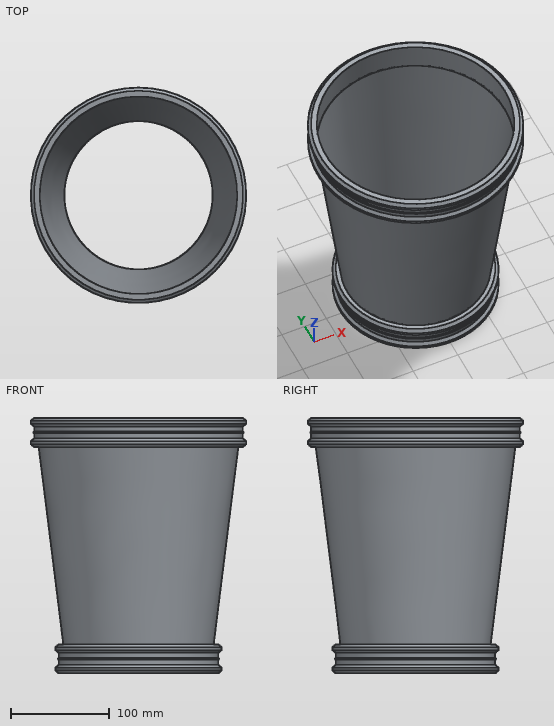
import cadquery as cq

total_height = 258.8
collar_height = 29.5

upper_bore_radius = 200.0 / 2
lower_bore_radius = 150.0 / 2
sleeve_wall = 1.3

band_wall = 211.7 / 2 - upper_bore_radius
bead_wall = 218.5 / 2 - upper_bore_radius
bead_height = 8.8
bead_flat = 2.8
rib_projection = 1.0
rib_height = 2.0


def ring(inner_radius, outer_radius, bottom, height):
    """Plain ring around the Z axis."""
    return (
        cq.Workplane("XY", origin=(0, 0, bottom))
        .circle(outer_radius)
        .circle(inner_radius)
        .extrude(height)
    )


def revolve_section(points):
    """Solid of revolution around Z from (radius, z) points."""
    return cq.Workplane("YZ").polyline(points).close().revolve(360, (0, 0, 0), (0, 1, 0))


def make_bead(bore_radius, bottom):
    """End bead with a flat crest and sloped flanks."""
    band_radius = bore_radius + band_wall
    crest_radius = bore_radius + bead_wall
    middle = bottom + bead_height / 2
    return revolve_section([
        (bore_radius, bottom),
        (band_radius, bottom),
        (crest_radius, middle - bead_flat / 2),
        (crest_radius, middle + bead_flat / 2),
        (band_radius, bottom + bead_height),
        (bore_radius, bottom + bead_height),
    ])


def make_rib(bore_radius, middle):
    """Rib of triangular section, with its sharp crest at height middle."""
    band_radius = bore_radius + band_wall
    return revolve_section([
        (bore_radius, middle - rib_height / 2),
        (band_radius, middle - rib_height / 2),
        (band_radius + rib_projection, middle),
        (band_radius, middle + rib_height / 2),
        (bore_radius, middle + rib_height / 2),
    ])


def make_collar(bore_radius, bottom):
    """Band with a bead at each end and a sharp rib at mid-height."""
    band_radius = bore_radius + band_wall
    collar = ring(bore_radius, band_radius, bottom, collar_height)
    for bead_bottom in (bottom, bottom + collar_height - bead_height):
        collar = collar.union(make_bead(bore_radius, bead_bottom))
    return collar.union(make_rib(bore_radius, bottom + collar_height / 2))


def make_sleeve(bottom, top):
    """Thin conical wall between the collars, flush with both bores."""
    return revolve_section([
        (lower_bore_radius, bottom),
        (lower_bore_radius + sleeve_wall, bottom),
        (upper_bore_radius + sleeve_wall, top),
        (upper_bore_radius, top),
    ])


upper_collar_bottom = total_height - collar_height

lower_collar = make_collar(lower_bore_radius, 0)
upper_collar = make_collar(upper_bore_radius, upper_collar_bottom)
sleeve = make_sleeve(collar_height, upper_collar_bottom)

result = cq.Compound.makeCompound([lower_collar.val(), sleeve.val(), upper_collar.val()])